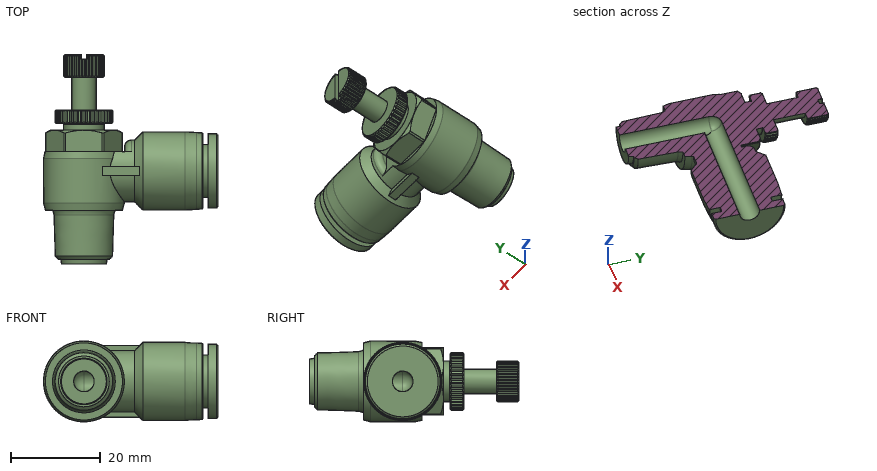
import cadquery as cq
import math


lip_top = 1.05
thread_start = 1.8
thread_end = 10.95
body_bottom = 11.98
body_straight_start = 13.55
body_straight_end = 23.5
body_top = 25.02
hex_top = 29.82
nut_bottom = 31.25
nut_top = 34.35
knob_bottom = 41.55
knob_top = 46.6

tip_radius = 5.0
lip_radius = 5.15
thread_chamfer_radius = 5.65
thread_small_radius = 6.4
thread_large_radius = 6.65
neck_radius = 7.0
neck_hollow = 0.05
body_bottom_radius = 8.57
body_radius = 9.0
body_top_radius = 8.65

hex_sides = 6
hex_across_flats = 15.0
hex_corner_radius = 8.55
hex_top_radius = 7.45
hex_chamfer_angle = 30.0

collar_radius = 4.55
collar_chamfer = 0.2
stem_radius = 2.75
nut_radius = 6.5
knob_radius = 4.55
knurl_chamfer = 0.33
knurl_count = 40
knurl_depth = 0.3
knurl_land_share = 0.45
slot_width = 1.15
slot_depth = 1.0

branch_y = 20.75
arm_radius = 6.9
arm_shoulder_x = 9.05
arm_shoulder_fillet = 1.5
cone_start = 11.3
cone_end = 13.1
sleeve_radius = 8.7
sleeve_straight_end = 22.45
sleeve_taper_end = 25.02
sleeve_taper_radius = 8.57
sleeve_end = 26.45
sleeve_end_radius = 8.5
sleeve_end_chamfer = 0.2
release_neck_radius = 5.9
flange_start = 27.65
flange_radius = 8.3
flange_end = 29.82
flange_chamfer_length = 0.33
flange_chamfer_depth = 0.4

rib_width = 2.0
rib_height = 8.0
rib_end = 12.4

bore_radius = 2.3


def cylinder_along_y(radius, start, end):
    return cq.Workplane("XZ", origin=(0, start, 0)).circle(radius).extrude(start - end)


def cylinder_along_x(radius, start, end):
    return cq.Workplane("YZ", origin=(start, branch_y, 0)).circle(radius).extrude(end - start)


def make_body():
    """Threaded spigot and round body, turned about the Y axis."""
    neck_middle = (
        (thread_large_radius + neck_radius) / 2 - neck_hollow,
        (thread_end + body_bottom) / 2,
    )
    return (
        cq.Workplane("XY")
        .lineTo(tip_radius, 0)
        .lineTo(lip_radius, lip_top)
        .lineTo(thread_chamfer_radius, lip_top)
        .lineTo(thread_small_radius, thread_start)
        .lineTo(thread_large_radius, thread_end)
        .threePointArc(neck_middle, (neck_radius, body_bottom))
        .lineTo(body_bottom_radius, body_bottom)
        .lineTo(body_radius, body_straight_start)
        .lineTo(body_radius, body_straight_end)
        .lineTo(body_top_radius, body_top)
        .lineTo(0, body_top)
        .close()
        .revolve(360, (0, 0, 0), (0, 1, 0))
    )


def make_hex():
    """Hexagon with flats facing +Z and -Z, rounded corners and a chamfered top."""
    corner_distance = hex_across_flats / 2 / math.cos(math.pi / hex_sides)
    corners = []
    for corner in range(hex_sides):
        angle = corner * 2 * math.pi / hex_sides
        corners.append((corner_distance * math.cos(angle), corner_distance * math.sin(angle)))
    hexagon = (
        cq.Workplane("XZ", origin=(0, body_top, 0))
        .polyline(corners)
        .close()
        .extrude(body_top - hex_top)
    )
    chamfer_drop = (hex_corner_radius - hex_top_radius) * math.tan(math.radians(hex_chamfer_angle))
    envelope = (
        cq.Workplane("XY")
        .moveTo(0, body_top)
        .lineTo(hex_corner_radius, body_top)
        .lineTo(hex_corner_radius, hex_top - chamfer_drop)
        .lineTo(hex_top_radius, hex_top)
        .lineTo(0, hex_top)
        .close()
        .revolve(360, (0, 0, 0), (0, 1, 0))
    )
    return hexagon.intersect(envelope)


def make_knurled_disc(radius, start, end):
    """Disc along Y with V grooves around its rim and both rim edges chamfered."""
    pitch_angle = 2 * math.pi / knurl_count
    land_angle = pitch_angle * knurl_land_share
    root_radius = radius - knurl_depth
    outline = []
    for tooth in range(knurl_count):
        middle = tooth * pitch_angle
        for point_radius, angle in (
            (radius, middle - land_angle / 2),
            (radius, middle + land_angle / 2),
            (root_radius, middle + pitch_angle / 2),
        ):
            outline.append((point_radius * math.cos(angle), point_radius * math.sin(angle)))
    gear = cq.Workplane("XZ", origin=(0, start, 0)).polyline(outline).close().extrude(start - end)
    envelope = cylinder_along_y(radius, start, end).edges().chamfer(knurl_chamfer)
    return gear.intersect(envelope)


def make_screw():
    """Collar, lock nut, stem and slotted knob above the hexagon."""
    collar = cylinder_along_y(collar_radius, hex_top, nut_bottom).faces(">Y").chamfer(collar_chamfer)
    nut = make_knurled_disc(nut_radius, nut_bottom, nut_top)
    stem = cylinder_along_y(stem_radius, nut_top, knob_bottom)
    knob = make_knurled_disc(knob_radius, knob_bottom, knob_top)
    slot = cq.Workplane("XY").box(slot_width, 2 * slot_depth, 2 * knob_radius).translate((0, knob_top, 0))
    return collar.union(nut).union(stem).union(knob.cut(slot))


def make_branch():
    """Arm with a rounded shoulder, sleeve and release flange, turned about the branch axis."""
    fillet_middle = (
        arm_shoulder_x + arm_shoulder_fillet * (1 - math.sqrt(0.5)),
        arm_radius - arm_shoulder_fillet * (1 - math.sqrt(0.5)),
    )
    turned = (
        cq.Workplane("XY", origin=(0, branch_y, 0))
        .moveTo(arm_shoulder_x, 0)
        .lineTo(arm_shoulder_x, arm_radius - arm_shoulder_fillet)
        .threePointArc(fillet_middle, (arm_shoulder_x + arm_shoulder_fillet, arm_radius))
        .lineTo(cone_start, arm_radius)
        .lineTo(cone_end, sleeve_radius)
        .lineTo(sleeve_straight_end, sleeve_radius)
        .lineTo(sleeve_taper_end, sleeve_taper_radius)
        .lineTo(sleeve_end - sleeve_end_chamfer, sleeve_end_radius)
        .lineTo(sleeve_end, sleeve_end_radius - sleeve_end_chamfer)
        .lineTo(sleeve_end, release_neck_radius)
        .lineTo(flange_start, release_neck_radius)
        .lineTo(flange_start, flange_radius)
        .lineTo(flange_end - flange_chamfer_length, flange_radius)
        .lineTo(flange_end, flange_radius - flange_chamfer_depth)
        .lineTo(flange_end, 0)
        .close()
        .revolve(360, (0, 0, 0), (1, 0, 0))
    )
    arm_bottom = branch_y - arm_radius
    below_body_top = cq.Workplane("XY").box(
        cone_start, body_top - arm_bottom, 2 * arm_radius, centered=(False, False, True)
    ).translate((0, arm_bottom, 0))
    arm = cylinder_along_x(arm_radius, 0, cone_start).intersect(below_body_top)
    return turned.union(arm)


def make_ribs():
    """One bar giving a rib on the +Z and on the -Z side of the arm."""
    return cq.Workplane("XY").box(
        rib_end, rib_width, 2 * rib_height, centered=(False, True, True)
    ).translate((0, branch_y, 0))


def cut_passage(solid):
    """Bore from the tip, turning through a ball-shaped corner and out along the branch."""
    inlet = cylinder_along_y(bore_radius, 0, branch_y)
    outlet = cylinder_along_x(bore_radius, 0, flange_end)
    corner = (
        cq.Workplane("YZ", origin=(0, branch_y, 0))
        .moveTo(0, -bore_radius)
        .threePointArc((bore_radius, 0), (0, bore_radius))
        .close()
        .revolve(90, (0, 0, 0), (0, 1, 0))
    )
    return solid.cut(inlet).cut(outlet).cut(corner)


fitting = (
    make_body()
    .union(make_hex())
    .union(make_screw())
    .union(make_branch())
    .union(make_ribs())
)
result = cut_passage(fitting).solids()